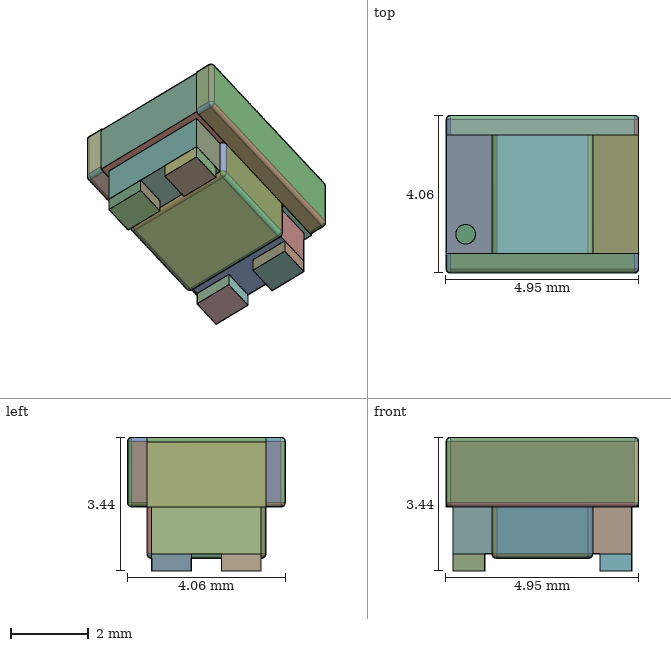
import cadquery as cq

LENGTH = 4.95
WIDTH = 4.06
HEIGHT = 3.44

PLATE_HEIGHT = 1.785
PLATE_THICKNESS = 0.5
PLATE_ROUND = 0.11

WINDING_LENGTH = 2.595
WINDING_BOTTOM = 0.325
WINDING_ROUND = 0.125

BLOCK_DROP = 0.12
STEM_BOTTOM = 0.445
STEM_END = 2.3
STEM_WIDTH = 2.82

FOOT_LENGTH = 0.82
FOOT_WIDTH = 1.025

DOT_DIAMETER = 0.505
DOT_DEPTH = 0.025
DOT_EDGE_DISTANCE = 0.5

PLATE_BOTTOM = HEIGHT - PLATE_HEIGHT
PLATE_INNER_Y = WIDTH / 2 - PLATE_THICKNESS
BLOCK_TOP = HEIGHT - BLOCK_DROP
WINDING_END = WINDING_LENGTH / 2
DOT_X = -LENGTH / 2 + DOT_EDGE_DISTANCE
DOT_Y = -PLATE_INNER_Y + DOT_EDGE_DISTANCE


def box_between(x_range, y_range, z_range):
    """Box spanning the given (low, high) ranges along X, Y and Z."""
    low, high = zip(x_range, y_range, z_range)
    size = [end - start for start, end in zip(low, high)]
    return cq.Workplane("XY").box(*size, centered=False).translate(low)


def mirror_to_side(body, axis_plane, side):
    """Body built on the positive side, mirrored when side is -1."""
    return body if side > 0 else body.mirror(axis_plane)


def make_plate(side):
    """Side plate with every edge rounded except those of its inner face."""
    plate = box_between(
        (-LENGTH / 2, LENGTH / 2), (PLATE_INNER_Y, WIDTH / 2), (PLATE_BOTTOM, HEIGHT)
    )
    plate = plate.edges("|Y or >Y").fillet(PLATE_ROUND)
    return mirror_to_side(plate, "XZ", side)


def make_winding():
    """Coil block: square against the plates, rounded at its ends and below the plates."""
    x_range = (-WINDING_END, WINDING_END)
    y_range = (-PLATE_INNER_Y, PLATE_INNER_Y)
    upper = box_between(x_range, y_range, (PLATE_BOTTOM, HEIGHT))
    upper = upper.edges("|Y and >Z").fillet(WINDING_ROUND)
    lower = box_between(x_range, y_range, (WINDING_BOTTOM, PLATE_BOTTOM))
    lower = lower.edges("|Z or <Z").fillet(WINDING_ROUND)
    return upper.union(lower)


def make_dot():
    """Thin disc whose face is level with the top of the end block."""
    disc = cq.Workplane("XY").circle(DOT_DIAMETER / 2).extrude(DOT_DEPTH)
    return disc.translate((DOT_X, DOT_Y, BLOCK_TOP - DOT_DEPTH))


def make_end_block(side):
    """End block with a stem, cut back where the winding is and recessed for the dot."""
    upper = box_between(
        (WINDING_END - WINDING_ROUND, LENGTH / 2),
        (-PLATE_INNER_Y, PLATE_INNER_Y),
        (PLATE_BOTTOM, BLOCK_TOP),
    )
    stem = box_between(
        (WINDING_END - WINDING_ROUND, STEM_END),
        (-STEM_WIDTH / 2, STEM_WIDTH / 2),
        (STEM_BOTTOM, PLATE_BOTTOM),
    )
    block = mirror_to_side(upper.union(stem), "YZ", side)
    return block.cut(make_winding()).cut(make_dot())


def make_foot(x_side, y_side):
    """Solder foot flush with the outer corner of a stem."""
    foot = box_between(
        (STEM_END - FOOT_LENGTH, STEM_END),
        (STEM_WIDTH / 2 - FOOT_WIDTH, STEM_WIDTH / 2),
        (0, STEM_BOTTOM),
    )
    return mirror_to_side(mirror_to_side(foot, "YZ", x_side), "XZ", y_side)


SIDES = (-1, 1)
plates = [make_plate(side) for side in SIDES]
winding = make_winding()
end_blocks = [make_end_block(side) for side in SIDES]
feet = [make_foot(x_side, y_side) for x_side in SIDES for y_side in SIDES]
dot = make_dot()

bodies = [*plates, winding, *end_blocks, *feet, dot]
result = cq.Compound.makeCompound([body.solids().val() for body in bodies])